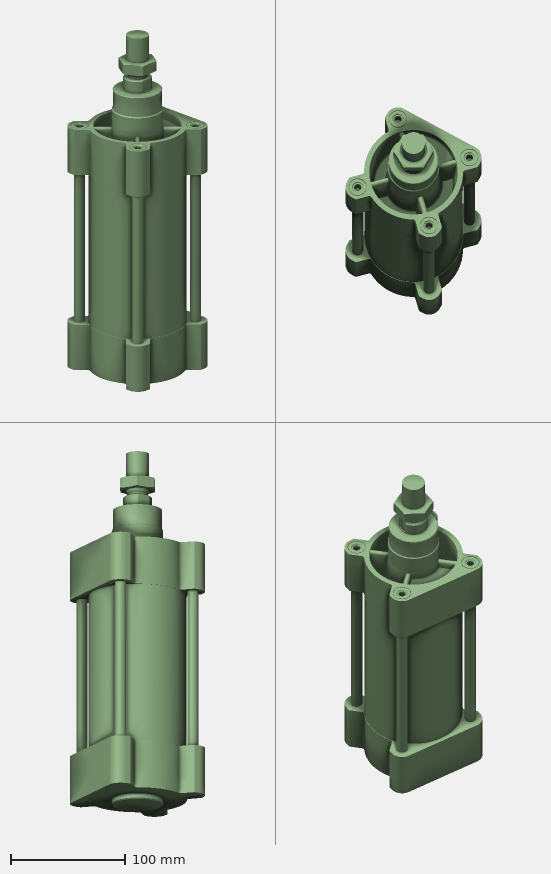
import cadquery as cq
import math

CAP_HEIGHT = 43.0
REAR_CAP_BOTTOM = 4.8
REAR_CAP_TOP = REAR_CAP_BOTTOM + CAP_HEIGHT
FRONT_CAP_TOP = 232.0
FRONT_CAP_BOTTOM = FRONT_CAP_TOP - CAP_HEIGHT
BOSS_TOP = 248.5
COLLAR_TOP = 266.8
ROD_SHOULDER = 278.2
NUT_BOTTOM = 284.5
NUT_HEIGHT = 10.0
ROD_TOP = 317.5

CAP_DIAMETER = 86.7
BARREL_DIAMETER = 86.0
CAP_SIDE = 93.0
LUG_SPACING = 71.8
LUG_WIDTH = 21.0
LUG_CORNER_RADIUS = (CAP_SIDE - LUG_SPACING) / 2
LUG_ROOT_FILLET = 2.2
WEB_START = 29.2
TIE_ROD_DIAMETER = 10.0

GROOVE_OUTER_DIAMETER = 16.0
GROOVE_INNER_DIAMETER = 15.0
GROOVE_DEPTH = 1.5
SOCKET_RIM_DIAMETER = 10.0
SOCKET_DIAMETER = 8.3
SOCKET_SHELF_DEPTH = 1.0
SOCKET_CORE_DIAMETER = 6.5
SOCKET_DEPTH = 12.7

RECESS_DEPTH = 33.5
SHALLOW_DEPTH = 8.3
RECESS_RIM_DIAMETER = 77.5
RECESS_WALL_DRAFT = 7.0
RECESS_CORE_DRAFT = 4.5
RECESS_FLOOR_FILLET = 1.5

RIB_COUNT = 4
RIB_WIDTH = 4.8
RIB_DRAFT = 5.0
RIB_DROP = 1.5

BOSS_DIAMETER = 45.0
BOSS_CHAMFER = 1.0
COLLAR_DIAMETER = 43.5
COLLAR_WAIST_DIAMETER = 42.5
COLLAR_CHAMFER = 0.5

ROD_DIAMETER = 25.0
ROD_FLATS_WIDTH = 22.5
ROD_FLATS_BOTTOM = COLLAR_TOP + 1.0
THREAD_DIAMETER = 20.0
THREAD_BOTTOM = 282.5
NECK_DIAMETER = 17.8
NECK_TOP = 279.8
THREAD_END_DIAMETER = 18.5
THREAD_TAPER_BOTTOM = 280.8
ROD_SHOULDER_CHAMFER = 0.5
ROD_BORE_DEPTH = 25.5

NUT_WIDTH = 30.2
NUT_CHAMFER_ANGLE = 15.0


def cylinder(diameter, bottom, top):
    return cq.Workplane("XY").workplane(offset=bottom).circle(diameter / 2).extrude(top - bottom)


def lug_roots():
    """Points where the lug sides meet the disc, leaving out the two under the +Y web."""
    half_angle = math.degrees(math.asin(LUG_WIDTH / CAP_DIAMETER))
    sides = []
    for lug_angle, turns in ((45, (-1,)), (135, (1,)), (225, (-1, 1)), (315, (-1, 1))):
        sides += [math.radians(lug_angle + turn * half_angle) for turn in turns]
    return [(CAP_DIAMETER / 2 * math.cos(side), CAP_DIAMETER / 2 * math.sin(side)) for side in sides]


def cap(bottom):
    """End cap: a disc with four corner lugs, filled out flat on its +Y side."""
    square = (
        cq.Workplane("XY")
        .rect(CAP_SIDE, CAP_SIDE)
        .extrude(CAP_HEIGHT)
        .edges("|Z")
        .fillet(LUG_CORNER_RADIUS)
    )
    body = cylinder(CAP_DIAMETER, 0, CAP_HEIGHT)
    for angle in (45, 135):
        arm = cq.Workplane("XY").rect(2 * CAP_SIDE, LUG_WIDTH).extrude(CAP_HEIGHT)
        arm = arm.rotate((0, 0, 0), (0, 0, 1), angle)
        body = body.union(arm.intersect(square))
    web_width = CAP_SIDE / 2 - WEB_START
    web = cq.Workplane("XY").center(0, WEB_START + web_width / 2).rect(LUG_SPACING, web_width)
    body = body.union(web.extrude(CAP_HEIGHT)).clean()
    for x, y in lug_roots():
        root = cq.selectors.NearestToPointSelector((x, y, CAP_HEIGHT / 2))
        body = body.edges(root).fillet(LUG_ROOT_FILLET)
    return body.translate((0, 0, bottom))


def lug_points():
    half = LUG_SPACING / 2
    return [(x, y) for x in (-half, half) for y in (-half, half)]


def tie_rods():
    return (
        cq.Workplane("XY")
        .workplane(offset=REAR_CAP_TOP)
        .pushPoints(lug_points())
        .circle(TIE_ROD_DIAMETER / 2)
        .extrude(FRONT_CAP_BOTTOM - REAR_CAP_TOP)
    )


def lug_socket():
    """Cutter for one socket and its groove, standing on the axis with its rim at Z = 0."""
    rim_chamfer = (SOCKET_RIM_DIAMETER - SOCKET_DIAMETER) / 2
    profile = [
        (0, 0),
        (SOCKET_RIM_DIAMETER / 2, 0),
        (SOCKET_DIAMETER / 2, -rim_chamfer),
        (SOCKET_DIAMETER / 2, -SOCKET_SHELF_DEPTH),
        (SOCKET_CORE_DIAMETER / 2, -SOCKET_SHELF_DEPTH),
        (SOCKET_CORE_DIAMETER / 2, -SOCKET_DEPTH),
        (0, -SOCKET_DEPTH),
    ]
    socket = cq.Workplane("XZ").polyline(profile).close().revolve(360, (0, 0), (0, 1))
    groove = cylinder(GROOVE_OUTER_DIAMETER, -GROOVE_DEPTH, 0)
    return socket.add(groove.cut(cylinder(GROOVE_INNER_DIAMETER, -GROOVE_DEPTH, 0)))


def recess_ring(depth):
    """Tapered ring around the boss, open at the cap face and rounded at its floor."""
    floor = FRONT_CAP_TOP - depth
    rim_radius = RECESS_RIM_DIAMETER / 2
    core_radius = BOSS_DIAMETER / 2
    profile = [
        (core_radius + depth * math.tan(math.radians(RECESS_CORE_DRAFT)), floor),
        (rim_radius - depth * math.tan(math.radians(RECESS_WALL_DRAFT)), floor),
        (rim_radius, FRONT_CAP_TOP),
        (core_radius, FRONT_CAP_TOP),
    ]
    ring = cq.Workplane("XZ").polyline(profile).close().revolve(360, (0, 0), (0, 1))
    return ring.faces("<Z").edges().fillet(RECESS_FLOOR_FILLET)


def rib():
    """Drafted rib with a rounded top, running from the axis along +X."""
    floor = FRONT_CAP_TOP - RECESS_DEPTH
    top = FRONT_CAP_TOP - RIB_DROP
    top_half = RIB_WIDTH / 2
    shoulder = top - top_half
    floor_half = top_half + (shoulder - floor) * math.tan(math.radians(RIB_DRAFT))
    return (
        cq.Workplane("YZ")
        .moveTo(-floor_half, floor)
        .lineTo(floor_half, floor)
        .lineTo(top_half, shoulder)
        .threePointArc((0, top), (-top_half, shoulder))
        .close()
        .extrude(CAP_DIAMETER / 2)
    )


def recess_pockets():
    """Cutters for the deep and the shallow recess, with the ribs left out of them."""
    reach = CAP_DIAMETER
    quarter = (
        cq.Workplane("XY")
        .workplane(offset=FRONT_CAP_BOTTOM)
        .polyline([(0, 0), (reach, reach), (-reach, reach)])
        .close()
        .extrude(CAP_HEIGHT)
    )
    deep = recess_ring(RECESS_DEPTH).cut(quarter)
    shallow = recess_ring(SHALLOW_DEPTH)
    for index in range(RIB_COUNT):
        angle = 45 + index * 360 / RIB_COUNT
        turned_rib = rib().rotate((0, 0, 0), (0, 0, 1), angle)
        deep = deep.cut(turned_rib)
        shallow = shallow.cut(turned_rib)
    return shallow, deep


def collar():
    """Slightly waisted ring on top of the front boss."""
    end = COLLAR_DIAMETER / 2
    middle = (COLLAR_WAIST_DIAMETER / 2, (BOSS_TOP + COLLAR_TOP) / 2)
    return (
        cq.Workplane("XZ")
        .moveTo(0, BOSS_TOP)
        .lineTo(end, BOSS_TOP)
        .threePointArc(middle, (end, COLLAR_TOP))
        .lineTo(0, COLLAR_TOP)
        .close()
        .revolve(360, (0, 0), (0, 1))
        .faces(">Z")
        .chamfer(COLLAR_CHAMFER)
    )


def make_housing():
    body = cylinder(BARREL_DIAMETER, REAR_CAP_TOP, FRONT_CAP_BOTTOM)
    body = body.union(cap(REAR_CAP_BOTTOM)).union(cap(FRONT_CAP_BOTTOM)).union(tie_rods())
    for pocket in recess_pockets():
        body = body.cut(pocket)
    rear_boss = cylinder(BOSS_DIAMETER, 0, REAR_CAP_BOTTOM).faces("<Z").chamfer(BOSS_CHAMFER)
    front_boss = cylinder(BOSS_DIAMETER, FRONT_CAP_TOP, BOSS_TOP).faces(">Z").chamfer(BOSS_CHAMFER)
    body = body.union(rear_boss).union(front_boss).union(collar())
    for x, y in lug_points():
        for cutter in lug_socket().vals():
            body = body.cut(cutter.translate(cq.Vector(x, y, FRONT_CAP_TOP)))
    return body.cut(cylinder(ROD_DIAMETER, COLLAR_TOP - ROD_BORE_DEPTH, COLLAR_TOP))


def make_rod():
    profile = [
        (0, COLLAR_TOP - ROD_BORE_DEPTH),
        (ROD_DIAMETER / 2, COLLAR_TOP - ROD_BORE_DEPTH),
        (ROD_DIAMETER / 2, ROD_SHOULDER - ROD_SHOULDER_CHAMFER),
        (ROD_DIAMETER / 2 - ROD_SHOULDER_CHAMFER, ROD_SHOULDER),
        (NECK_DIAMETER / 2, ROD_SHOULDER),
        (NECK_DIAMETER / 2, NECK_TOP),
        (THREAD_END_DIAMETER / 2, NECK_TOP),
        (THREAD_END_DIAMETER / 2, THREAD_TAPER_BOTTOM),
        (THREAD_DIAMETER / 2, THREAD_BOTTOM),
        (THREAD_DIAMETER / 2, ROD_TOP),
        (0, ROD_TOP),
    ]
    rod = cq.Workplane("XZ").polyline(profile).close().revolve(360, (0, 0), (0, 1))
    flats_height = ROD_SHOULDER - ROD_FLATS_BOTTOM
    for side in (-1, 1):
        flat = (
            cq.Workplane("XY")
            .workplane(offset=ROD_FLATS_BOTTOM)
            .center(side * (ROD_FLATS_WIDTH + ROD_DIAMETER) / 2, 0)
            .rect(ROD_DIAMETER, ROD_DIAMETER)
            .extrude(flats_height)
        )
        rod = rod.cut(flat)
    return rod


def make_nut():
    """Hexagon nut with flats facing X, its corners chamfered at both ends."""
    across_corners = NUT_WIDTH / math.cos(math.pi / 6)
    hexagon = (
        cq.Workplane("XY")
        .workplane(offset=NUT_BOTTOM)
        .transformed(rotate=(0, 0, 30))
        .polygon(6, across_corners)
        .extrude(NUT_HEIGHT)
    )
    corner_reach = (across_corners - NUT_WIDTH) / 2
    corner_drop = corner_reach * math.tan(math.radians(NUT_CHAMFER_ANGLE))
    rounding = cylinder(across_corners, NUT_BOTTOM, NUT_BOTTOM + NUT_HEIGHT)
    rounding = rounding.faces("<Z or >Z").chamfer(corner_drop, corner_reach)
    nut = hexagon.intersect(rounding)
    return nut.cut(cylinder(THREAD_DIAMETER, NUT_BOTTOM, NUT_BOTTOM + NUT_HEIGHT))


housing = make_housing()
rod = make_rod()
nut = make_nut()
result = cq.Compound.makeCompound([housing.val(), rod.val(), nut.val()])